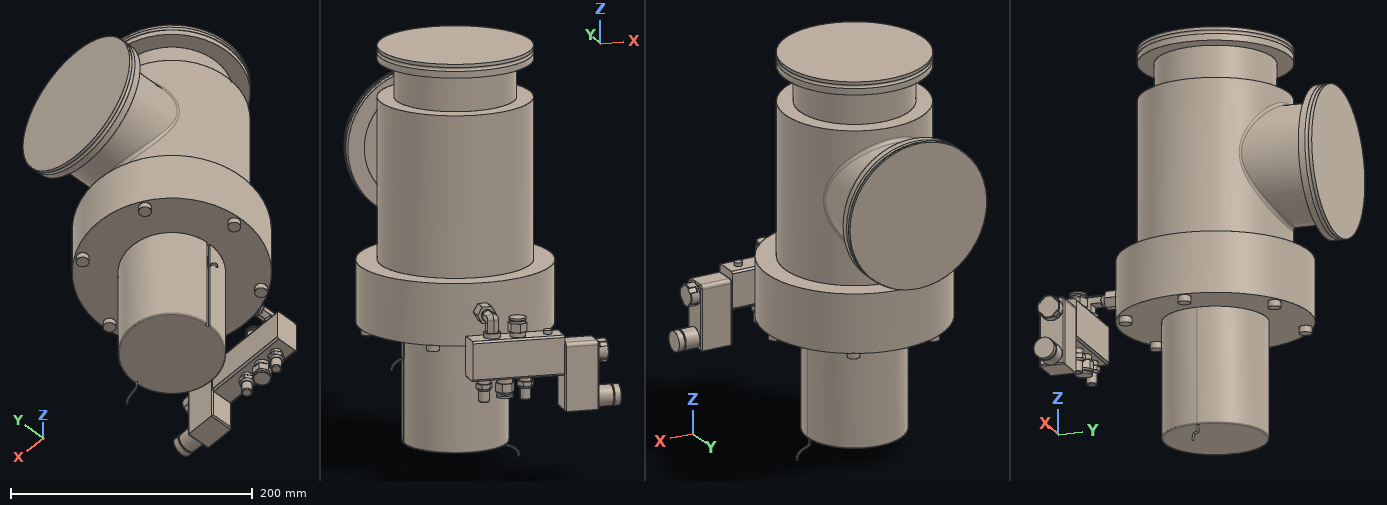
import cadquery as cq
import math


BASE_R = 82.5
BASE_H = 53.3
MAIN_R = 64.75
PORT_CLEARANCE = 108.0
TOP_Z = 236.0
SIDE_PORT_Z = TOP_Z - PORT_CLEARANCE
PORT_NECK_EXPOSED = 44.0
MAIN_TOP_Z = TOP_Z - PORT_NECK_EXPOSED
PORT_NECK_R = 50.8
PORT_FLANGE_R = 64.9
PORT_FLANGE_T = 11.8
PORT_GROOVE_START = 2.8
PORT_GROOVE_W = 3.2
PORT_GROOVE_DEPTH = 1.2
WELD_R = 3.0

HOUSING_R = 44.5
HOUSING_LENGTH = 101.3
HOUSING_EDGE_R = 1.0
SLIT_W = 3.2
SLIT_DEPTH = 2.0

SCREW_COUNT = 6
SCREW_CIRCLE_R = 75.7
SCREW_HEAD_R = 5.3
SCREW_HEAD_H = 5.6

WIRE_R = 0.75
WIRE_OUT = 12.0
WIRE_DROP = 13.0
WIRE_BEND_POINTS = ((4.6, 4.2), (10.0, 7.7))
WIRE_INSET = 1.8
WIRE_RADIUS_POS = HOUSING_R - WIRE_INSET
WIRE_LOW_END_Z = -118.34
WIRE_EMBED = 3.0
WIRE_LOW_START_Z = -HOUSING_LENGTH + WIRE_EMBED
WIRE_HIGH_END_Z = -38.0
WIRE_HIGH_START_Z = -16.0

ELBOW_Y = -110.6
ELBOW_Z = 28.9
ELBOW_FLATS = 9.4
ELBOW_COLLAR_R = 4.75
ELBOW_NUT_FLATS = 14.0
ELBOW_NUT_END_Y = -95.3
ELBOW_COLLAR_END_Y = -98.5
ELBOW_FOOT_R = 6.9
ELBOW_FOOT_TOP_Z = 18.1

BLOCK_X0 = -19.8
BLOCK_X1 = 59.2
BLOCK_Y_BACK = -100.7
BLOCK_Y_FRONT = -122.6
BLOCK_TOP_Z = 14.0
BLOCK_BOTTOM_Z = -20.3
BLOCK_CHAMFER = 1.7
COIL_X1 = 89.0
COIL_Y_FRONT = -122.93
COIL_TOP_Z = 7.4
COIL_BOTTOM_Z = -51.2
COIL_TOP_R = 3.4
COIL_CHAMFER = 1.2
PILOT_Y = (BLOCK_Y_BACK + COIL_Y_FRONT) / 2

PLUG_FLATS = 13.9
PLUG_NECK_R = 6.4
PLUG_HEX_H = 7.6
PLUG_CHAMFER_H = 1.6
PLUG_STEM_R = 3.2
PLUG_STEM_H = 1.2
PLUG_CAP_R = 7.1
PLUG_CAP_H = 1.7
TOP_PLUG_NECK_H = 4.1
BOTTOM_PLUG_NECK_H = 4.8
TOP_PLUG_X = 21.3
TOP_PLUG_Y = -113.0
BOTTOM_PLUG_X = 10.7
BUTTON_X = 47.5
BUTTON_R = 3.4
BUTTON_H = 3.2
BARB_X = (-7.1, 28.5)
BARB_Y = -111.3
BARB_FLATS = 12.0
BARB_NECK_R = 5.0
BARB_NECK_H = 4.5
BARB_HEX_H = 4.0
BARB_CHAMFER_H = 1.9
BARB_TUBE_R = 4.4
BARB_TIP_CHAMFER = 0.8
BARB_LENGTH = 20.2

KNOB_R = 9.75
KNOB_LENGTH = 8.5
KNOB_Z = -3.2
KNOB_CHAMFER = 0.6
KNOB_SLOT_COUNT = 4
KNOB_SLOT_W = 4.8
KNOB_SLOT_DEPTH = 1.5
KNOB_SLOT_START = 1.5
CABLE_R = 9.05
CABLE_END_X = 108.35
CABLE_Z = COIL_BOTTOM_Z + CABLE_R
CABLE_GROOVE_X = 101.9
CABLE_GROOVE_W = 1.0
CABLE_GROOVE_DEPTH = 0.4

OVERLAP = 1.0
HEX_HALF_ANGLE = math.pi / 6


def upright(radius, z0, z1, x=0.0, y=0.0):
    """Cylinder along Z between two heights."""
    return cq.Workplane("XY", origin=(x, y, z0)).circle(radius).extrude(z1 - z0)


def along_x(radius, x0, x1, y, z):
    """Cylinder along X between two X positions."""
    return cq.Workplane("YZ", origin=(x0, y, z)).circle(radius).extrude(x1 - x0)


def along_y(radius, y0, y1, x, z):
    """Cylinder along Y, from y0 in the -Y direction to y1."""
    return cq.Workplane("XZ", origin=(x, y0, z)).circle(radius).extrude(y0 - y1)


def box(x0, x1, y0, y1, z0, z1):
    return cq.Workplane("XY").box(x1 - x0, y1 - y0, z1 - z0, centered=False).translate((x0, y0, z0))


def across_corners(flats):
    return flats / math.cos(HEX_HALF_ANGLE)


def port_tube():
    """Port flange and neck along Z from the main axis, with the face at PORT_CLEARANCE."""
    face = PORT_CLEARANCE
    groove_top = face - PORT_GROOVE_START
    groove_bottom = groove_top - PORT_GROOVE_W
    groove_floor = (PORT_FLANGE_R - PORT_GROOVE_DEPTH, (groove_top + groove_bottom) / 2)
    return (
        cq.Workplane("XZ")
        .moveTo(0, 0)
        .lineTo(PORT_NECK_R, 0)
        .lineTo(PORT_NECK_R, face - PORT_FLANGE_T)
        .lineTo(PORT_FLANGE_R, face - PORT_FLANGE_T)
        .lineTo(PORT_FLANGE_R, groove_bottom)
        .threePointArc(groove_floor, (PORT_FLANGE_R, groove_top))
        .lineTo(PORT_FLANGE_R, face)
        .lineTo(0, face)
        .close()
        .revolve(360, (0, 0, 0), (0, 1, 0))
    )


def valve_body():
    main = upright(MAIN_R, BASE_H - OVERLAP, MAIN_TOP_Z)
    port = port_tube()
    side_port = port.rotate((0, 0, 0), (1, 0, 0), -90).translate((0, 0, SIDE_PORT_Z))
    tee = main.union(side_port)
    tee = tee.edges("not(%CIRCLE or %LINE)").fillet(WELD_R)
    return tee.union(port.translate((0, 0, SIDE_PORT_Z))).union(upright(BASE_R, 0, BASE_H))


def housing():
    shell = upright(HOUSING_R, -HOUSING_LENGTH, OVERLAP).faces("<Z").edges().fillet(HOUSING_EDGE_R)
    slit = box(
        -HOUSING_R - OVERLAP, -HOUSING_R + SLIT_DEPTH,
        -SLIT_W / 2, SLIT_W / 2,
        -HOUSING_LENGTH - OVERLAP, 0,
    )
    return shell.cut(slit)


def flange_screws():
    screws = cq.Workplane("XY").polarArray(SCREW_CIRCLE_R, 0, 360, SCREW_COUNT)
    return screws.circle(SCREW_HEAD_R).extrude(OVERLAP + SCREW_HEAD_H).translate((0, 0, -SCREW_HEAD_H))


def wire(start_z, end_z):
    """Wire on the +X side: straight down, then an S-bend outward ending straight down."""
    x0 = WIRE_RADIUS_POS
    bend_z = end_z + WIRE_DROP
    bend = [(x0 + out, bend_z - down) for out, down in WIRE_BEND_POINTS]
    bend.append((x0 + WIRE_OUT, end_z))
    path = (
        cq.Workplane("XZ")
        .moveTo(x0, start_z)
        .lineTo(x0, bend_z)
        .spline(bend, tangents=[(0, -1), (0, -1)], includeCurrent=True)
    )
    return cq.Workplane("XY", origin=(x0, 0, start_z)).circle(WIRE_R).sweep(path)


def elbow():
    """Hexagonal elbow joining the base flange to the pilot block."""
    corners = across_corners(ELBOW_FLATS)
    nut = (
        cq.Workplane("XZ", origin=(0, -BASE_R + OVERLAP, ELBOW_Z))
        .polygon(6, across_corners(ELBOW_NUT_FLATS))
        .extrude(-BASE_R + OVERLAP - ELBOW_NUT_END_Y)
    )
    collar = along_y(ELBOW_COLLAR_R, ELBOW_NUT_END_Y + OVERLAP, ELBOW_COLLAR_END_Y - OVERLAP, 0, ELBOW_Z)
    level_leg = (
        cq.Workplane("XZ", origin=(0, ELBOW_COLLAR_END_Y, ELBOW_Z))
        .transformed(rotate=(0, 0, 90))
        .polygon(6, corners)
        .extrude(ELBOW_COLLAR_END_Y - ELBOW_Y)
    )
    upright_leg = (
        cq.Workplane("XY", origin=(0, ELBOW_Y, ELBOW_FOOT_TOP_Z - OVERLAP))
        .transformed(rotate=(0, 0, 90))
        .polygon(6, corners)
        .extrude(ELBOW_Z - ELBOW_FOOT_TOP_Z + OVERLAP)
    )
    half_flats = ELBOW_FLATS / 2
    knuckle = (
        cq.Workplane("XY", origin=(0, ELBOW_Y, ELBOW_Z))
        .polyline([
            (-half_flats, 0),
            (-half_flats, corners / 4),
            (0, corners / 2),
            (half_flats, corners / 4),
            (half_flats, 0),
        ])
        .close()
        .revolve(360, (0, 0, 0), (1, 0, 0))
    )
    foot = upright(ELBOW_FOOT_R, BLOCK_TOP_Z - OVERLAP, ELBOW_FOOT_TOP_Z, 0, ELBOW_Y)
    return nut.union(collar).union(level_leg).union(upright_leg).union(knuckle).union(foot)


def pilot_block():
    block = box(BLOCK_X0, BLOCK_X1, BLOCK_Y_FRONT, BLOCK_Y_BACK, BLOCK_BOTTOM_Z, BLOCK_TOP_Z)
    return block.edges("|X").chamfer(BLOCK_CHAMFER)


def coil():
    body = box(BLOCK_X1, COIL_X1, COIL_Y_FRONT, BLOCK_Y_BACK, COIL_BOTTOM_Z, COIL_TOP_Z)
    body = body.faces(">Z").edges("|X").fillet(COIL_TOP_R)
    return body.faces("<X or >X").edges().chamfer(COIL_CHAMFER)


def hex_and_taper(flats, hex_h, taper_h, tip_r, turn):
    """Hexagon standing on Z = 0 with a round tapered top."""
    nut = (
        cq.Workplane("XY")
        .transformed(rotate=(0, 0, turn))
        .polygon(6, across_corners(flats))
        .extrude(hex_h)
    )
    taper = (
        cq.Workplane("XY", origin=(0, 0, hex_h))
        .circle(flats / 2)
        .workplane(offset=taper_h)
        .circle(tip_r)
        .loft()
    )
    return nut.union(taper)


def plug(neck_h, turn):
    """Vent plug pointing up from Z = 0: neck, hexagon, thin stem and cap."""
    stem_z = neck_h + PLUG_HEX_H + PLUG_CHAMFER_H
    cap_z = stem_z + PLUG_STEM_H
    nut = hex_and_taper(PLUG_FLATS, PLUG_HEX_H, PLUG_CHAMFER_H, PLUG_NECK_R, turn)
    return (
        upright(PLUG_NECK_R, -BLOCK_CHAMFER, neck_h)
        .union(nut.translate((0, 0, neck_h)))
        .union(upright(PLUG_STEM_R, stem_z - OVERLAP, cap_z))
        .union(upright(PLUG_CAP_R, cap_z, cap_z + PLUG_CAP_H))
    )


def barb():
    """Hose fitting pointing up from Z = 0: neck, hexagon and tube."""
    nut = hex_and_taper(BARB_FLATS, BARB_HEX_H, BARB_CHAMFER_H, BARB_NECK_R, 0)
    tube = upright(BARB_TUBE_R, BARB_NECK_H, BARB_LENGTH).faces(">Z").edges().chamfer(BARB_TIP_CHAMFER)
    return (
        upright(BARB_NECK_R, -OVERLAP, BARB_NECK_H)
        .union(nut.translate((0, 0, BARB_NECK_H)))
        .union(tube)
    )


def below_block(fitting, x, y):
    """Turn an upward fitting over and set it on the block underside."""
    return fitting.rotate((0, 0, 0), (1, 0, 0), 180).translate((x, y, BLOCK_BOTTOM_Z))


def block_fittings():
    fittings = plug(TOP_PLUG_NECK_H, 90).translate((TOP_PLUG_X, TOP_PLUG_Y, BLOCK_TOP_Z))
    fittings = fittings.union(
        upright(BUTTON_R, BLOCK_TOP_Z - OVERLAP, BLOCK_TOP_Z + BUTTON_H, BUTTON_X, PILOT_Y)
    )
    fittings = fittings.union(below_block(plug(BOTTOM_PLUG_NECK_H, 0), BOTTOM_PLUG_X, PILOT_Y))
    for x in BARB_X:
        fittings = fittings.union(below_block(barb(), x, BARB_Y))
    return fittings


def knob():
    """Round nut on the coil face with slots around its rim."""
    end_x = COIL_X1 + KNOB_LENGTH
    nut = along_x(KNOB_R, COIL_X1 - OVERLAP, end_x, PILOT_Y, KNOB_Z)
    nut = nut.faces(">X").edges().chamfer(KNOB_CHAMFER)
    step = 360 / KNOB_SLOT_COUNT
    for i in range(KNOB_SLOT_COUNT):
        slot = box(
            COIL_X1 + KNOB_SLOT_START, end_x,
            -KNOB_SLOT_W / 2, KNOB_SLOT_W / 2,
            KNOB_R - KNOB_SLOT_DEPTH, KNOB_R + OVERLAP,
        )
        slot = slot.rotate((0, 0, 0), (1, 0, 0), step * (i + 0.5))
        nut = nut.cut(slot.translate((0, PILOT_Y, KNOB_Z)))
    return nut


def cable_connector():
    groove_end = CABLE_GROOVE_X + CABLE_GROOVE_W
    core_r = CABLE_R - CABLE_GROOVE_DEPTH
    plug_body = along_x(CABLE_R, COIL_X1 - OVERLAP, CABLE_GROOVE_X, PILOT_Y, CABLE_Z)
    core = along_x(core_r, CABLE_GROOVE_X, groove_end, PILOT_Y, CABLE_Z)
    tip = along_x(CABLE_R, groove_end, CABLE_END_X, PILOT_Y, CABLE_Z)
    return plug_body.union(core).union(tip)


low_wire = wire(WIRE_LOW_START_Z, WIRE_LOW_END_Z)
high_wire = wire(WIRE_HIGH_START_Z, WIRE_HIGH_END_Z).mirror("YZ")

pilot_valve = (
    pilot_block()
    .union(coil())
    .union(block_fittings())
    .union(knob())
    .union(cable_connector())
    .union(elbow())
)

result = (
    valve_body()
    .union(housing())
    .union(flange_screws())
    .union(low_wire)
    .union(high_wire)
    .union(pilot_valve)
)